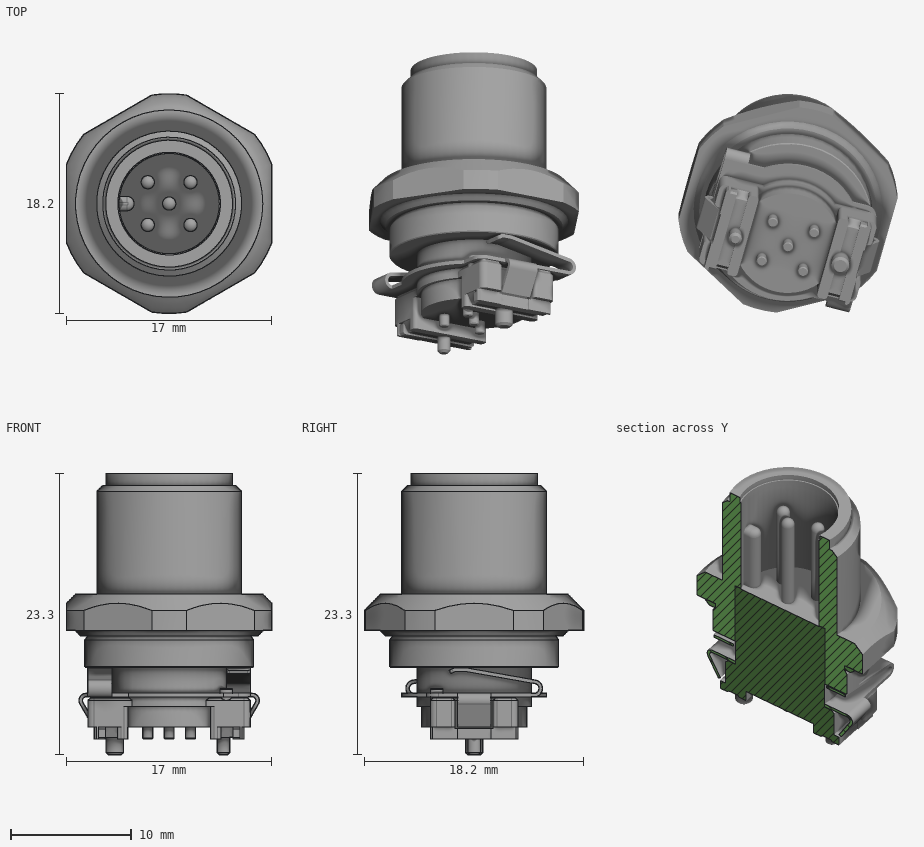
import cadquery as cq
import math


top_z = 22.0
neck_radius = 5.25
neck_height = 1.0
barrel_radius = 6.0
barrel_chamfer = 0.5
hex_width = 17.0
hex_corner_radius = 9.1
hex_top_radius = 7.75
hex_bottom_z = 9.0
hex_top_z = 12.0
thread_radius = 7.0
thread_root_radius = 6.75
thread_bottom_z = 5.95
thread_top_chamfer_height = 0.35
thread_bottom_chamfer = 0.08
bore_radius = 4.15
bore_mouth_radius = 4.25
bore_mouth_depth = 0.5

seal_bottom_z = 8.55
seal_radius = 7.8
seal_bottom_radius = seal_radius - (hex_bottom_z - seal_bottom_z)

carrier_radius = 4.75
carrier_foot_radius = 4.38
carrier_step_z = 2.7
carrier_bottom_z = 1.0
carrier_top_z = hex_top_z
key_radius = 0.6
key_center_x = -3.5
key_top_z = 18.0
key_rounding = 0.49

contact_circle_radius = 2.5
contact_radius = 0.55
tail_radius = 0.42
tail_chamfer = 0.08
contact_tip_z = 20.0
center_contact_tip_z = 20.85

block_outer_x = 6.73
block_half_length = 3.63
block_inner_x = 3.42
block_top_z = 3.5
block_corner_radius = 0.53
block_top_chamfer = 0.2
block_pad_height = 0.1
leg_corner_radius = 0.3
window_corner_radius = 0.3
window_width = 3.15
window_depth = 1.15
window_floor_z = 0.9
wall_outer_x = 6.2
wall_inner_x = 5.85
wall_recess_depth = 0.1
wall_end_chamfer = 0.18
foot_inner_x = 5.28
foot_chamfer = 0.15
foot_half_length = 3.5
leg_outer_x = 4.29
ramp_bottom_z = 0.15
ramp_lean = math.radians(30)
boss_radius = 0.53
boss_x = 4.73
boss_y = -3.1
boss_top_z = 4.2
boss_chamfer = 0.08
peg_x = 4.5
peg_bottom_z = -1.3
peg_chamfer = 0.2
left_peg_radius = 0.73
right_peg_radius = 0.53

sheet = 0.3
clip_bottom_z = block_top_z
clip_mid_z = clip_bottom_z + sheet / 2
clip_top_z = clip_bottom_z + sheet
clip_radius = 6.0
clip_outer_x = 6.75
arm_inner_x = 4.75
arm_width = clip_outer_x - arm_inner_x
bend_y = -4.96
free_end_y = 3.96
free_corner_radius = 1.0
arm_bend_radius = 0.55
arm_slope = math.radians(10)
arm_knee_y = 0.7
arm_flat_end_y = 1.6
arm_tip_y = 2.0
arm_tip_drop = 0.2
arm_tip_corner_radius = 0.25
tab_width = 2.75
tab_bend_x = -6.87
tab_bend_radius = 0.45
tab_lean = math.radians(30)
tab_end_z = 1.1


def cylinder(radius, bottom_z, upper_z, x=0.0, y=0.0):
    return cq.Workplane("XY", origin=(x, y, bottom_z)).circle(radius).extrude(upper_z - bottom_z)


def box(x_range, y_range, z_range):
    size = [high - low for low, high in (x_range, y_range, z_range)]
    corner = (x_range[0], y_range[0], z_range[0])
    return cq.Workplane("XY").box(*size, centered=False).translate(corner)


def revolve_profile(points):
    """Turn a closed (radius, z) outline about the Z axis."""
    return cq.Workplane("XZ").polyline(points).close().revolve(360, (0, 0), (0, 1))


def half_turn(body):
    return body.rotate((0, 0, 0), (0, 0, 1), 180)


def make_housing():
    neck_z = top_z - neck_height
    barrel = revolve_profile([
        (0, hex_bottom_z),
        (barrel_radius, hex_bottom_z),
        (barrel_radius, neck_z - barrel_chamfer),
        (barrel_radius - barrel_chamfer, neck_z),
        (neck_radius, neck_z),
        (neck_radius, top_z),
        (0, top_z),
    ])
    hex_prism = (
        cq.Workplane("XY", origin=(0, 0, hex_bottom_z))
        .polygon(6, hex_width, circumscribed=True)
        .extrude(hex_top_z - hex_bottom_z)
    )
    hex_turning = cylinder(hex_corner_radius, hex_bottom_z, hex_top_z)
    hex_turning = hex_turning.faces(">Z").chamfer(hex_corner_radius - hex_top_radius)
    thread = revolve_profile([
        (0, thread_bottom_z),
        (thread_radius - thread_bottom_chamfer, thread_bottom_z),
        (thread_radius, thread_bottom_z + thread_bottom_chamfer),
        (thread_radius, seal_bottom_z - thread_top_chamfer_height),
        (thread_root_radius, seal_bottom_z),
        (thread_root_radius, hex_bottom_z),
        (0, hex_bottom_z),
    ])
    body = barrel.union(hex_prism.intersect(hex_turning)).union(thread)
    body = body.cut(cylinder(carrier_radius, thread_bottom_z, carrier_top_z))
    body = body.cut(cylinder(bore_radius, carrier_top_z, top_z))
    return body.cut(cylinder(bore_mouth_radius, top_z - bore_mouth_depth, top_z))


def make_seal():
    return revolve_profile([
        (thread_root_radius, seal_bottom_z),
        (seal_bottom_radius, seal_bottom_z),
        (seal_radius, hex_bottom_z),
        (thread_root_radius, hex_bottom_z),
    ])


def make_contact(x, y, tip_z):
    """One contact: a tail below the carrier and a round-nosed pin above it."""
    tail = cylinder(tail_radius, 0, carrier_top_z, x, y).faces("<Z").chamfer(tail_chamfer)
    pin = cylinder(contact_radius, carrier_top_z, tip_z - contact_radius, x, y)
    nose = cq.Workplane("XY", origin=(x, y, tip_z - contact_radius)).sphere(contact_radius)
    return tail.union(pin).union(nose)


def make_key():
    """Coding key: a rib from the bore wall with a round inner side and a rounded top."""
    rib = cylinder(key_radius, carrier_top_z, key_top_z, key_center_x).union(
        box((-barrel_radius, key_center_x), (-key_radius, key_radius), (carrier_top_z, key_top_z))
    )
    rib = rib.faces(">Z").edges("not <X").fillet(key_rounding)
    return rib.intersect(cylinder(bore_radius, carrier_top_z, key_top_z))


def make_block():
    """Mounting block on the -X side, without its locating peg."""
    length = (-block_half_length, block_half_length)
    shoulder_z = block_top_z - block_pad_height
    window = box(
        (-block_outer_x, -block_outer_x + window_depth),
        (-window_width / 2, window_width / 2),
        (window_floor_z, block_top_z),
    )
    block = box((-block_outer_x, 0), length, (carrier_bottom_z, shoulder_z)).cut(window)
    block = block.edges("|Z and <X").edges("not (<Y or >Y)").fillet(window_corner_radius)
    block = block.edges("|Z and <X").edges("<Y or >Y").fillet(block_corner_radius)
    block = block.faces(">Z").edges("not >X").chamfer(block_top_chamfer)
    block = block.faces(">Z").wires().toPending().extrude(block_pad_height)
    block = block.cut(box((-leg_outer_x, 0), length, (carrier_bottom_z, carrier_step_z)))
    carrier_edge_x = math.sqrt(carrier_radius**2 - block_half_length**2)
    block = block.intersect(box((-block_outer_x, -carrier_edge_x), length, (carrier_bottom_z, block_top_z)))

    leg_span = (-leg_outer_x, -block_inner_x)
    leg_top = box(leg_span, length, (carrier_bottom_z, carrier_step_z))
    leg_top = leg_top.edges("|Z and >X").fillet(leg_corner_radius)
    leg_end = box(leg_span, length, (0, carrier_bottom_z)).edges("|Z").fillet(leg_corner_radius)
    foot = box((-wall_inner_x, -foot_inner_x), (-foot_half_length, foot_half_length), (0, carrier_bottom_z))
    foot = foot.faces("<Y or >Y").edges("|X").chamfer(foot_chamfer)
    wall = box((-wall_outer_x, -wall_inner_x), length, (0, carrier_bottom_z))
    wall = wall.edges("|Z and <X").chamfer(wall_end_chamfer)

    ramp_run = (carrier_bottom_z - ramp_bottom_z) * math.tan(ramp_lean)
    ramp = (
        cq.Workplane("YZ", origin=(-foot_inner_x, 0, 0))
        .moveTo(-foot_half_length, carrier_bottom_z)
        .lineTo(-foot_half_length + ramp_run, ramp_bottom_z)
        .lineTo(foot_half_length - ramp_run, ramp_bottom_z)
        .lineTo(foot_half_length, carrier_bottom_z)
        .close()
        .extrude(foot_inner_x - leg_outer_x)
    )
    boss = cylinder(boss_radius, carrier_bottom_z, boss_top_z, -boss_x, -boss_y)
    boss = boss.faces(">Z").chamfer(boss_chamfer)

    wall_recess = box(
        (-wall_outer_x, -wall_outer_x + wall_recess_depth),
        (-tab_width / 2, tab_width / 2),
        (0, carrier_bottom_z),
    )
    for piece in (leg_top, leg_end, foot, wall, ramp, boss):
        block = block.union(piece)
    return block.cut(window).cut(wall_recess)


def make_peg(x, radius):
    return cylinder(radius, peg_bottom_z, carrier_bottom_z, x).faces("<Z").chamfer(peg_chamfer)


def make_carrier():
    body = cylinder(carrier_foot_radius, carrier_bottom_z, carrier_step_z)
    body = body.union(cylinder(carrier_radius, carrier_step_z, carrier_top_z))
    block = make_block()
    body = body.union(block).union(half_turn(block))
    body = body.union(make_peg(-peg_x, left_peg_radius))
    body = body.union(make_peg(peg_x, right_peg_radius))
    body = body.union(make_key())
    body = body.union(make_contact(0, 0, center_contact_tip_z))
    for index in range(4):
        angle = math.radians(45 + 90 * index)
        x = contact_circle_radius * math.cos(angle)
        y = contact_circle_radius * math.sin(angle)
        body = body.union(make_contact(x, y, contact_tip_z))
    return body


def make_arm():
    """Spring arm on the -X side: folds back over the plate and rises to a turned-down tip."""
    bend_z = clip_mid_z + arm_bend_radius
    fold_y = bend_y - arm_bend_radius * math.sin(arm_slope)
    fold_z = bend_z + arm_bend_radius * math.cos(arm_slope)
    knee_z = fold_z + (arm_knee_y - fold_y) * math.tan(arm_slope)
    path = (
        cq.Workplane("YZ", origin=(-clip_outer_x + arm_width / 2, 0, 0))
        .moveTo(bend_y, clip_mid_z)
        .threePointArc((bend_y - arm_bend_radius, bend_z), (fold_y, fold_z))
        .lineTo(arm_knee_y, knee_z)
        .lineTo(arm_flat_end_y, knee_z)
        .lineTo(arm_tip_y, knee_z - arm_tip_drop)
    )
    section = cq.Workplane("XZ", origin=(-clip_outer_x + arm_width / 2, bend_y, clip_mid_z))
    arm = section.rect(arm_width, sheet).sweep(path, transition="right")
    return arm.faces(">Y").edges("not |X").fillet(arm_tip_corner_radius)


def make_tab():
    """Latch tab on the -X side: rolls down over the plate edge and leans into the block window."""
    bend_z = clip_mid_z - tab_bend_radius
    roll_x = tab_bend_x - tab_bend_radius * math.cos(tab_lean)
    roll_z = bend_z - tab_bend_radius * math.sin(tab_lean)
    end_x = roll_x + (roll_z - tab_end_z) * math.tan(tab_lean)
    path = (
        cq.Workplane("XZ")
        .moveTo(-clip_radius, clip_mid_z)
        .lineTo(tab_bend_x, clip_mid_z)
        .threePointArc((tab_bend_x - tab_bend_radius, bend_z), (roll_x, roll_z))
        .lineTo(end_x, tab_end_z)
    )
    section = cq.Workplane("YZ", origin=(-clip_radius, 0, clip_mid_z))
    return section.rect(tab_width, sheet).sweep(path, transition="right")


def make_clip():
    plate = cylinder(clip_radius, clip_bottom_z, clip_top_z)
    wing = box((-clip_outer_x, 0), (bend_y, free_end_y), (clip_bottom_z, clip_top_z))
    wing = wing.edges("|Z and <X and >Y").fillet(free_corner_radius)
    side = wing.union(make_arm()).union(make_tab())
    clip = plate.union(side).union(half_turn(side))
    clip = clip.cut(cylinder(carrier_radius, clip_bottom_z, clip_top_z))
    for sign in (1, -1):
        clip = clip.cut(cylinder(boss_radius, clip_bottom_z, clip_top_z, sign * boss_x, sign * boss_y))
    return clip


housing = make_housing()
seal = make_seal()
carrier = make_carrier()
clip = make_clip()

result = cq.Compound.makeCompound([
    housing.solids().val(),
    seal.solids().val(),
    carrier.solids().val(),
    clip.solids().val(),
])